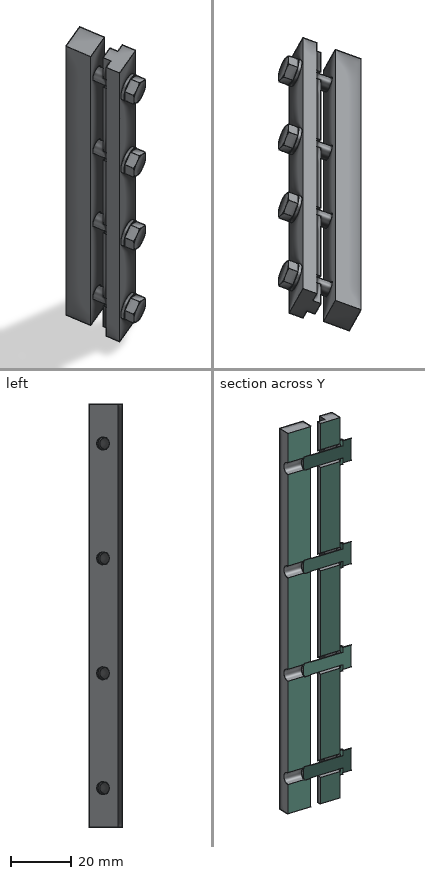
import cadquery as cq
import math

RAIL_LENGTH = 140.0

BAR_DEPTH = 9.4
BAR_WIDTH = 9.5
BAR_HOLE_DIAMETER = 4.2
BAR_HOLE_Y = 0.91

RAIL_GAP = 3.8
FLANGE_WIDTH = 11.0
FLANGE_THICKNESS = 5.0
WEB_WIDTH = 4.8
WEB_HEIGHT = 3.0
CLEARANCE_DIAMETER = 6.6

WASHER_DIAMETER = 9.4
WASHER_THICKNESS = 1.1

BOLT_DIAMETER = 5.0
BOLT_LENGTH = 16.0
TIP_CHAMFER = 0.5
HEAD_ACROSS_FLATS = 8.0
HEAD_HEIGHT = 3.5
CROWN_RISE = 0.3
CROWN_ANGLE = 30.0

BOLT_COUNT = 4
END_MARGIN = 13.0
BOLT_PITCH = (RAIL_LENGTH - 2 * END_MARGIN) / (BOLT_COUNT - 1)

WEB_START = BAR_DEPTH + RAIL_GAP
FLANGE_START = WEB_START + WEB_HEIGHT
WASHER_START = FLANGE_START + FLANGE_THICKNESS
HEAD_START = WASHER_START + WASHER_THICKNESS
BOLT_TIP = HEAD_START - BOLT_LENGTH

BAR_CENTER_Y = (FLANGE_WIDTH - BAR_WIDTH) / 2

BOLT_HEIGHTS = [END_MARGIN + i * BOLT_PITCH - RAIL_LENGTH / 2 for i in range(BOLT_COUNT)]


def rod_along_x(diameter, start, length, y, z):
    """Round rod that points along +X."""
    return cq.Workplane("YZ", origin=(start, y, z)).circle(diameter / 2).extrude(length)


def box_along_x(start, depth, width, y):
    """Full-height block that starts at the given X and is centred on y."""
    return cq.Workplane("XY").box(depth, width, RAIL_LENGTH).translate((start + depth / 2, y, 0))


def make_shank(z):
    """Bolt shank with a chamfered tip."""
    shank = rod_along_x(BOLT_DIAMETER, BOLT_TIP, BOLT_LENGTH, 0, z)
    return shank.faces("<X").chamfer(TIP_CHAMFER)


def make_crown(corner_radius, z):
    """Round envelope whose outer end bevels the corners of the head."""
    end_radius = corner_radius - CROWN_RISE / math.tan(math.radians(CROWN_ANGLE))
    head_end = HEAD_START + HEAD_HEIGHT
    return (
        cq.Workplane("XY", origin=(0, 0, z))
        .moveTo(HEAD_START, 0)
        .lineTo(HEAD_START, corner_radius)
        .lineTo(head_end - CROWN_RISE, corner_radius)
        .lineTo(head_end, end_radius)
        .lineTo(head_end, 0)
        .close()
        .revolve(360, (HEAD_START, 0, 0), (head_end, 0, 0))
    )


def make_bolt(z):
    """Hexagon bolt with two corners of its head pointing up and down."""
    across_corners = HEAD_ACROSS_FLATS / math.cos(math.pi / 6)
    head = (
        cq.Workplane("YZ", origin=(HEAD_START, 0, z))
        .transformed(rotate=(0, 0, 90))
        .polygon(6, across_corners)
        .extrude(HEAD_HEIGHT)
    )
    return make_shank(z).union(head.intersect(make_crown(across_corners / 2, z)))


def make_washer(z):
    """Flat washer that fits closely around the shank."""
    washer = rod_along_x(WASHER_DIAMETER, WASHER_START, WASHER_THICKNESS, 0, z)
    return washer.cut(rod_along_x(BOLT_DIAMETER, WASHER_START, WASHER_THICKNESS, 0, z))


def make_bar():
    """Square bar with through holes and a socket around each bolt tip."""
    bar = box_along_x(0, BAR_DEPTH, BAR_WIDTH, BAR_CENTER_Y)
    for z in BOLT_HEIGHTS:
        bar = bar.cut(rod_along_x(BAR_HOLE_DIAMETER, 0, BAR_DEPTH, BAR_HOLE_Y, z))
        bar = bar.cut(make_shank(z))
    return bar


def make_t_rail():
    """T-section rail with a clearance hole for each bolt."""
    web = box_along_x(WEB_START, WEB_HEIGHT, WEB_WIDTH, 0)
    rail = web.union(box_along_x(FLANGE_START, FLANGE_THICKNESS, FLANGE_WIDTH, 0))
    for z in BOLT_HEIGHTS:
        rail = rail.cut(rod_along_x(CLEARANCE_DIAMETER, WEB_START, WEB_HEIGHT + FLANGE_THICKNESS, 0, z))
    return rail


bar = make_bar()
t_rail = make_t_rail()
bolts = [make_bolt(z) for z in BOLT_HEIGHTS]
washers = [make_washer(z) for z in BOLT_HEIGHTS]

result = cq.Compound.makeCompound(
    [bar.val(), t_rail.val()]
    + [bolt.val() for bolt in bolts]
    + [washer.val() for washer in washers]
)